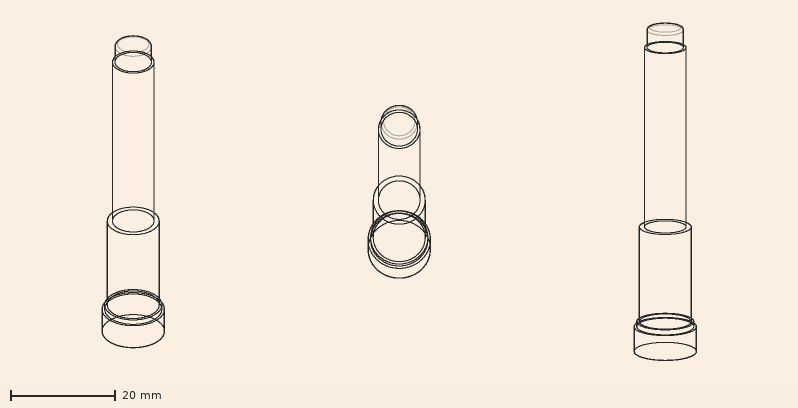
import cadquery as cq

HEAD_DIAMETER = 12.0
HEAD_HEIGHT = 5.0
COLLAR_DIAMETER = 11.0
COLLAR_HEIGHT = 1.0
BODY_DIAMETER = 10.0
BODY_HEIGHT = 19.0
SHAFT_DIAMETER = 8.0
SHAFT_HEIGHT = 36.0
TIP_DIAMETER = 7.0
TIP_HEIGHT = 4.0
TIP_FILLET = 0.5

SECTIONS = [
    (HEAD_DIAMETER, HEAD_HEIGHT),
    (COLLAR_DIAMETER, COLLAR_HEIGHT),
    (BODY_DIAMETER, BODY_HEIGHT),
    (SHAFT_DIAMETER, SHAFT_HEIGHT),
    (TIP_DIAMETER, TIP_HEIGHT),
]


def stacked_cylinders(sections):
    """Stack coaxial cylinders, each standing on the top face of the one below."""
    pin = cq.Workplane("XY")
    base_height = 0.0
    for diameter, height in sections:
        cylinder = cq.Workplane("XY").workplane(offset=base_height).circle(diameter / 2).extrude(height)
        pin = pin.union(cylinder)
        base_height += height
    return pin


def round_tip(pin):
    """Round the top rim of the tip."""
    return pin.faces(">Z").edges().fillet(TIP_FILLET)


result = round_tip(stacked_cylinders(SECTIONS))